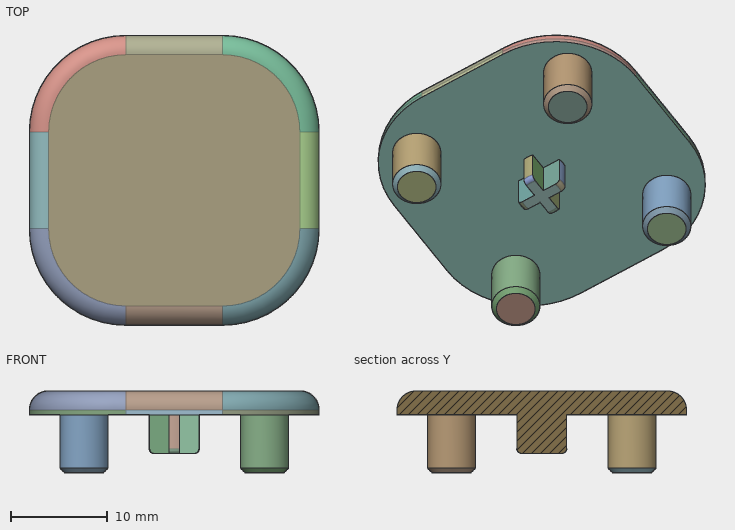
import cadquery as cq

plate_side = 30.0
plate_thickness = 2.5
corner_radius = 10.0
top_edge_radius = 2.0

post_diameter = 5.0
post_length = 6.0
post_offset = 9.34
post_chamfer = 0.5

stem_diameter = 5.2
stem_length = 4.0
stem_arm_width = 1.1
stem_tip_radius = 0.5


def make_plate():
    """Rounded square plate with a rounded upper rim."""
    plate = cq.Workplane("XY").rect(plate_side, plate_side).extrude(plate_thickness)
    plate = plate.edges("|Z").fillet(corner_radius)
    return plate.faces(">Z").edges().fillet(top_edge_radius)


def make_post(x, y):
    """Round post hanging from the plate, chamfered at its free end."""
    post = cq.Workplane("XY").center(x, y).circle(post_diameter / 2).extrude(-post_length)
    return post.faces("<Z").chamfer(post_chamfer)


def make_stem():
    """Cross cut from a round pin with a rounded tip, so the arm ends are round."""
    pin = cq.Workplane("XY").circle(stem_diameter / 2).extrude(-stem_length)
    pin = pin.faces("<Z").edges().fillet(stem_tip_radius)
    arm_along_x = cq.Workplane("XY").rect(stem_diameter, stem_arm_width).extrude(-stem_length)
    arm_along_y = cq.Workplane("XY").rect(stem_arm_width, stem_diameter).extrude(-stem_length)
    return pin.intersect(arm_along_x.union(arm_along_y))


result = make_plate().union(make_stem())
for x_side in (-1, 1):
    for y_side in (-1, 1):
        result = result.union(make_post(x_side * post_offset, y_side * post_offset))